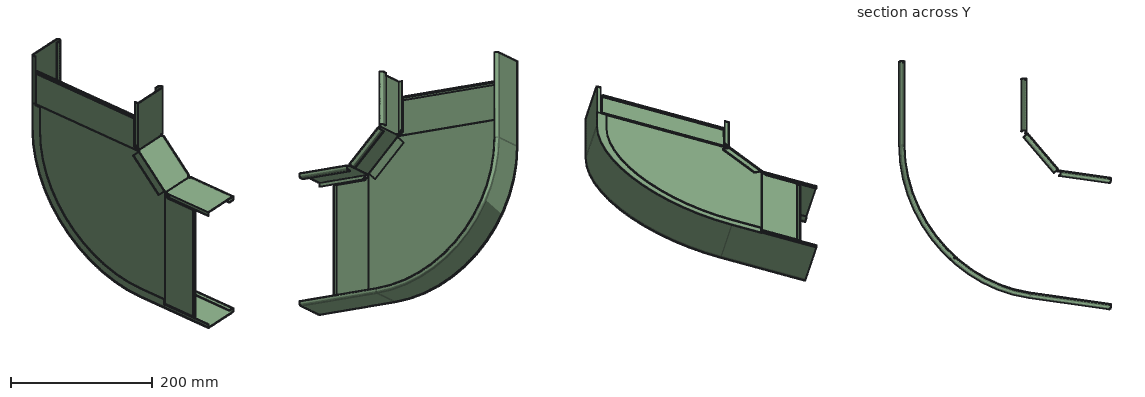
import cadquery as cq
import math


reach = 325.0
tray_height = 57.0
tray_width = 196.0
wall_sheet = 1.25
plate_sheet = 0.78
outer_radius = 200.0

flange_width = 6.5
wide_flange_width = 15.0
wide_flange_end = 243.0
lip_width = 7.5
lip_depth = 10.0
lip_radius = lip_width / 2
lip_start = tray_height - lip_radius

bevel_end = 245.7
arm_edge_start = bevel_end + 1.5
tab_width = 15.3
bevel_edge_inset = 2.0
inner_face = tray_width - wall_sheet
inner_bevel_end = bevel_end - wall_sheet * math.tan(math.radians(45 / 2))
base_notch_height = 3.2
lip_notch_depth = 5.2
lip_notch_start = tray_height - lip_notch_depth

joggle_start = 244.0
joggle_length = 1.0
tongue_start = joggle_start + joggle_length
tongue_end = 302.0
tongue_inset = 8.0
tongue_corner = 1.5
tongue_root_height = 6.5
bead_radius = 1.5
bead_margin = 1.5 * bead_radius
bead_position = tongue_end - bead_margin - bead_radius


def swap_arms(body):
    """Mirror in the plane X = Z, which turns the Z arm into the X arm."""
    return body.mirror(cq.Vector(1, 0, -1))


def in_xz(y):
    """Workplane at height y whose local axes are X and Z; a negative extrusion goes along +Y."""
    return cq.Workplane("XZ", origin=(0, y, 0))


def strip_plane(x, z, inward):
    """Plane across a wall: local x points into the tray from the outer face, local y along Y."""
    direction = cq.Vector(*inward)
    return cq.Workplane(cq.Plane((x, 0, z), direction, direction.cross(cq.Vector(0, 1, 0))))


def draw_lip(section):
    """Continue a wall section from the outer start of the lip round to its inner start."""
    lip_tip = tray_height - lip_depth
    return (
        section.threePointArc((lip_radius, tray_height), (lip_width, lip_start))
        .lineTo(lip_width, lip_tip)
        .lineTo(lip_width - wall_sheet, lip_tip)
        .lineTo(lip_width - wall_sheet, lip_start)
        .threePointArc((lip_radius, tray_height - wall_sheet), (wall_sheet, lip_start))
    )



def outer_section(plane):
    """Closed section of the outer wall: flange, rounded bend, wall and lip."""
    bend = wall_sheet * (1 - math.sqrt(0.5))
    wall = (
        plane.moveTo(flange_width, 0)
        .lineTo(wall_sheet, 0)
        .threePointArc((bend, bend), (0, wall_sheet))
        .lineTo(0, lip_start)
    )
    return draw_lip(wall).lineTo(wall_sheet, wall_sheet).lineTo(flange_width, wall_sheet).close()


def wide_flange():
    """Flange that follows the curve and carries the rim of the base plate."""
    inner_radius = outer_radius - wide_flange_width
    rim_radius = outer_radius - wall_sheet
    inner_mid = outer_radius - inner_radius * math.sqrt(0.5)
    rim_mid = outer_radius - rim_radius * math.sqrt(0.5)
    return (
        in_xz(0)
        .moveTo(wall_sheet, wide_flange_end)
        .lineTo(wall_sheet, outer_radius)
        .threePointArc((rim_mid, rim_mid), (outer_radius, wall_sheet))
        .lineTo(wide_flange_end, wall_sheet)
        .lineTo(wide_flange_end, wide_flange_width)
        .lineTo(outer_radius, wide_flange_width)
        .threePointArc((inner_mid, inner_mid), (wide_flange_width, outer_radius))
        .lineTo(wide_flange_width, wide_flange_end)
        .close()
        .extrude(-wall_sheet)
    )


def make_outer_wall():
    arm = outer_section(strip_plane(0, reach, (1, 0, 0))).extrude(outer_radius - reach)
    curve = outer_section(strip_plane(0, outer_radius, (1, 0, 0))).revolve(
        90, (outer_radius, 3.2), (outer_radius, 0)
    )
    return arm.union(curve).union(swap_arms(arm)).union(wide_flange())



def lip_strip(plane, length):
    """Lip alone, with the wall stub below it that it bends from."""
    section = draw_lip(plane.moveTo(0, lip_notch_start).lineTo(0, lip_start))
    return section.lineTo(wall_sheet, lip_notch_start).close().extrude(length)


def inner_arm_edges():
    """Flange and lip of the inner wall's Z arm; the flange end is cut at 45 degrees."""
    flange = (
        in_xz(0)
        .moveTo(tray_width, reach)
        .lineTo(tray_width, arm_edge_start)
        .lineTo(tray_width - flange_width, arm_edge_start + flange_width)
        .lineTo(tray_width - flange_width, reach)
        .close()
        .extrude(-wall_sheet)
    )
    lip = lip_strip(strip_plane(tray_width, reach, (-1, 0, 0)), reach - arm_edge_start)
    return flange.union(lip)


def inner_arm_notches():
    """Bend reliefs through the Z arm of the wall, at its base and at its lip, next to the bevel."""
    notch_length = arm_edge_start - joggle_start
    notch = cq.Workplane("XY", origin=(inner_face - wall_sheet, 0, joggle_start))
    base_notch = notch.rect(2 * wall_sheet, base_notch_height, centered=False).extrude(notch_length)
    lip_notch = (
        notch.moveTo(0, lip_notch_start)
        .rect(2 * wall_sheet, lip_notch_depth, centered=False)
        .extrude(notch_length)
    )
    return base_notch.union(lip_notch)


def bevel_edges():
    """Base tab and lip along the bevel, both ending square to it short of its corners."""
    length = math.sqrt(2) * (bevel_end - tray_width) - 2 * bevel_edge_inset
    inward = (-math.sqrt(0.5), 0, -math.sqrt(0.5))
    plane = strip_plane(tray_width, bevel_end, inward).workplane(offset=bevel_edge_inset)
    tab = plane.rect(tab_width, wall_sheet, centered=False).extrude(length)
    return tab.union(lip_strip(plane, length))


def make_inner_wall():
    wall = (
        in_xz(0)
        .polyline([
            (tray_width, reach),
            (tray_width, bevel_end),
            (bevel_end, tray_width),
            (reach, tray_width),
            (reach, inner_face),
            (inner_bevel_end, inner_face),
            (inner_face, inner_bevel_end),
            (inner_face, reach),
        ])
        .close()
        .extrude(-lip_start)
    )
    notches = inner_arm_notches()
    edges = inner_arm_edges()
    wall = wall.cut(notches).cut(swap_arms(notches))
    return wall.union(edges).union(swap_arms(edges)).union(bevel_edges())



def base_panel():
    """Recessed panel that fills the elbow between the walls, resting on their flanges."""
    bevel_corner = inner_face + inner_bevel_end - joggle_start
    rim_mid = outer_radius - (outer_radius - wall_sheet) * math.sqrt(0.5)
    return (
        in_xz(wall_sheet)
        .moveTo(wall_sheet, joggle_start)
        .lineTo(bevel_corner, joggle_start)
        .lineTo(joggle_start, bevel_corner)
        .lineTo(joggle_start, wall_sheet)
        .lineTo(outer_radius, wall_sheet)
        .threePointArc((rim_mid, rim_mid), (wall_sheet, outer_radius))
        .close()
        .extrude(-plate_sheet)
    )


def tongue_sheet():
    """Joggle, flat and stiffening bead of the Z tongue, extruded across the tray."""
    bead_outer = bead_radius + plate_sheet
    outer_half_chord = math.sqrt(bead_outer**2 - plate_sheet**2)
    return (
        cq.Workplane("YZ", origin=(tongue_inset, 0, 0))
        .moveTo(wall_sheet, joggle_start)
        .lineTo(0, tongue_start)
        .lineTo(0, bead_position - bead_radius)
        .threePointArc((bead_radius, bead_position), (0, bead_position + bead_radius))
        .lineTo(0, tongue_end)
        .lineTo(plate_sheet, tongue_end)
        .lineTo(plate_sheet, bead_position + outer_half_chord)
        .threePointArc((bead_outer, bead_position), (plate_sheet, bead_position - outer_half_chord))
        .lineTo(plate_sheet, tongue_start)
        .lineTo(wall_sheet + plate_sheet, joggle_start)
        .close()
        .extrude(inner_face - tongue_inset)
    )


def tongue_outline():
    """Outline of the Z tongue: clipped end corners and a root that widens towards the bevel."""
    far_edge = tray_width - tongue_inset
    return (
        in_xz(0)
        .polyline([
            (tongue_inset, joggle_start),
            (tongue_inset, tongue_end - tongue_corner),
            (tongue_inset + tongue_corner, tongue_end),
            (far_edge - tongue_corner, tongue_end),
            (far_edge, tongue_end - tongue_corner),
            (far_edge, joggle_start + tongue_root_height),
            (far_edge + tongue_root_height, joggle_start),
        ])
        .close()
        .extrude(-tray_height)
    )


def make_base_plate():
    tongue = tongue_sheet().intersect(tongue_outline())
    return base_panel().union(tongue).union(swap_arms(tongue))


outer_wall = make_outer_wall()
inner_wall = make_inner_wall()
base_plate = make_base_plate()

result = cq.Compound.makeCompound([
    outer_wall.solids().val(),
    inner_wall.solids().val(),
    base_plate.solids().val(),
])